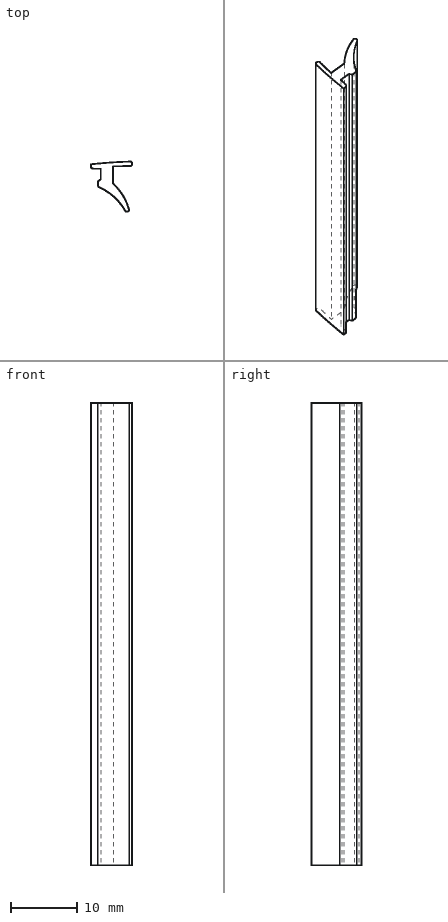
import cadquery as cq

length = 70.0
width = 6.2
depth = 7.6

flange_rise = 0.4
flange_crown = 0.1
flange_left_underside = -1.1
flange_root_underside = -0.8
flange_right_underside = -0.7
flange_corner_radius = 0.35
flange_tip_radius = 0.3

stem_left = 1.5
stem_right = 3.35
stem_left_bottom = -2.7
stem_right_bottom = -3.35

heel_left = 1.05
heel_top = -3.0
heel_bottom = -3.85
heel_radius = 0.4

lip_inner_mid = (3.4, -5.3)
lip_inner_end = (5.2, -7.5)
lip_tip = (5.45, -depth)
lip_outer_end = (5.75, -7.15)
lip_outer_mid = (4.8, -5.1)


def strip_blank():
    """Extrude the profile, with its -X end at x = 0 and its highest point at y = 0."""
    return (
        cq.Workplane("XY")
        .moveTo(0, -flange_rise)
        .threePointArc((width / 2, flange_crown - flange_rise / 2), (width, 0))
        .lineTo(width, flange_right_underside)
        .lineTo(stem_right, flange_root_underside)
        .lineTo(stem_right, stem_right_bottom)
        .threePointArc(lip_outer_mid, lip_outer_end)
        .threePointArc(lip_tip, lip_inner_end)
        .threePointArc(lip_inner_mid, (heel_left, heel_bottom))
        .lineTo(heel_left, heel_top)
        .lineTo(stem_left, stem_left_bottom)
        .lineTo(stem_left, flange_left_underside)
        .lineTo(0, flange_left_underside)
        .close()
        .extrude(length)
    )


def round_corner(body, corner, radius):
    """Round the lengthwise edge that passes through the given profile corner."""
    edge = cq.selectors.NearestToPointSelector((*corner, length / 2))
    return body.edges("|Z").edges(edge).fillet(radius)


strip = strip_blank()
strip = round_corner(strip, (0, flange_left_underside), flange_corner_radius)
strip = round_corner(strip, (width, 0), flange_tip_radius)
strip = round_corner(strip, (width, flange_right_underside), flange_tip_radius)
strip = round_corner(strip, (heel_left, heel_bottom), heel_radius)

result = strip.translate((-width / 2, depth / 2, -length / 2))